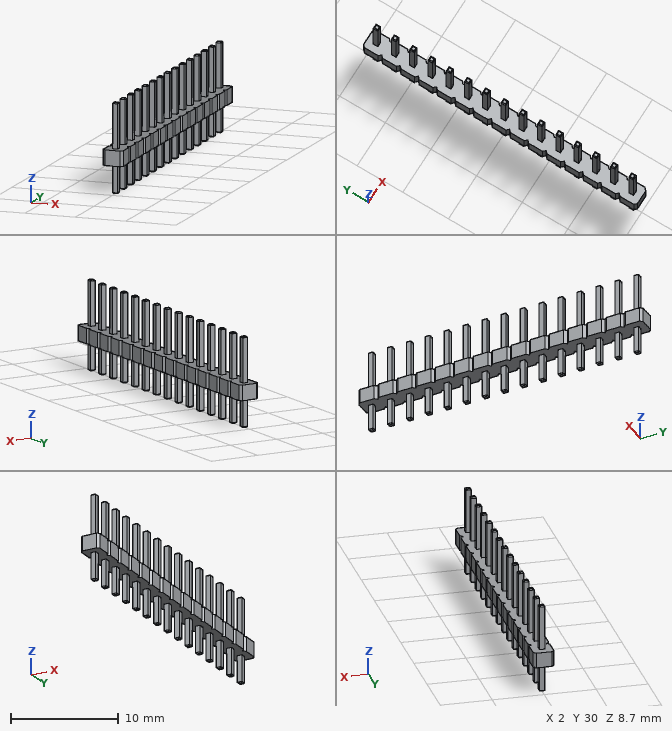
import cadquery as cq

pin_count = 15
row_length = 30.0
pitch = row_length / pin_count

body_height = 1.5
corner_chamfer = 0.25

pin_side = 0.5
pin_above_body = 4.4
pin_below_body = 2.8
pin_length = pin_below_body + body_height + pin_above_body
tip_chamfer = 0.1

pin_centers = [
    (0, (index - (pin_count - 1) / 2) * pitch)
    for index in range(pin_count)
]


def make_cell():
    """Square block with chamfered upright corners; neighbours form V-notches."""
    block = cq.Workplane("XY").box(pitch, pitch, body_height, centered=(True, True, False))
    return block.edges("|Z").chamfer(corner_chamfer)


def make_pin():
    """Square pin, chamfered around both tips."""
    bar = cq.Workplane("XY").box(pin_side, pin_side, pin_length, centered=(True, True, False))
    tipped_bar = bar.faces("<Z or >Z").edges().chamfer(tip_chamfer)
    return tipped_bar.translate((0, 0, -pin_below_body))


def repeat_along_row(unit):
    """Place a copy of the unit at every pin position."""
    return cq.Workplane("XY").pushPoints(pin_centers).eachpoint(unit.val(), combine=False)


body = repeat_along_row(make_cell()).combine()
pins = repeat_along_row(make_pin())
result = body.union(pins).clean()